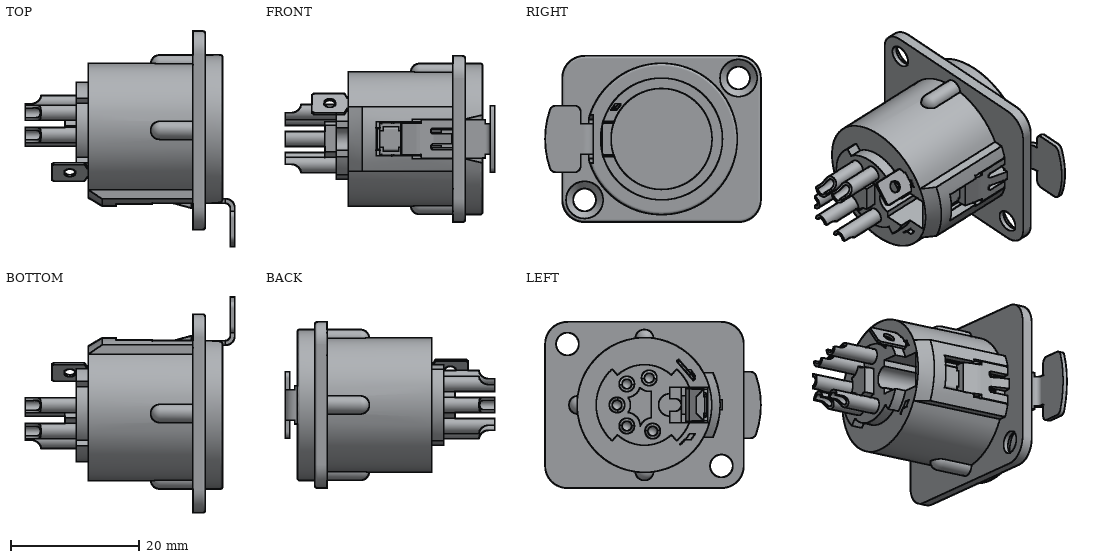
import cadquery as cq
import math


PLATE_THICKNESS = 1.95
PLATE_WIDTH_Y = 31.0
PLATE_HEIGHT_Z = 25.94
PLATE_CORNER_RADIUS = 3.5
EDGE_ROUND = 0.45
MOUNT_HOLE_DIAMETER = 3.5
COUNTERSINK_DIAMETER = 5.8
COUNTERSINK_ANGLE = 90
MOUNT_HOLE_Y = 12.0
MOUNT_HOLE_Z = 9.5

BARREL_RADIUS = 10.5
BARREL_REAR_X = -16.3
COLLAR_RADIUS = 11.8
COLLAR_FRONT_X = 4.65
SPINE_HALF_WIDTH = 5.0
SPINE_RAMP_LENGTH = 2.15

RIB_RADIUS = 1.42
RIB_AXIS_RADIUS = 10.35
RIB_CYLINDER_REAR_X = -5.16
RIB_ANGLES = (0, 90, -90)

GROOVE_INNER_DIAMETER = 15.75
GROOVE_OUTER_DIAMETER = 19.0
GROOVE_REAR_X = -12.0

FLANGE_THICKNESS = 1.9
FLANGE_SMALL_RADIUS = 6.28
FLANGE_LARGE_RADIUS = 7.52
FLANGE_SECTOR_HALF_ANGLE = 48.0
FLANGE_REAR_X = BARREL_REAR_X - FLANGE_THICKNESS
HUB_REAR_X = -19.95
HUB_FLAT_Y = -1.03
HUB_SCALLOP_RADIUS = 2.09

PIN_CIRCLE_RADIUS = 4.27
PIN_DIAMETER = 2.4
PIN_REAR_X = -26.15
PIN_ANGLE_STEP = 50
LAST_PIN_ANGLE = -107.5
PINS = (
    (0, 0),
    (PIN_ANGLE_STEP, 90),
    (2 * PIN_ANGLE_STEP, 90),
    (-PIN_ANGLE_STEP, -90),
    (LAST_PIN_ANGLE, -90),
)
CUP_BORE_DIAMETER = 1.5
CUP_BORE_DEPTH = 3.5
CUP_LENGTH = 2.5
CUP_FLOOR_OFFSET = -0.1
CUP_END_RADIUS = 1.5

POCKET_HALF_WIDTH = 2.75
POCKET_INNER_Y = -3.95
POCKET_OUTER_Y = -9.83
POCKET_LEDGE_Y = -5.72
POCKET_LEDGE_X = -9.5
POCKET_FLOOR_X = -5.0
POCKET_ROUND_RADIUS = 1.75
POCKET_ROUND_FLOOR_X = -11.0
TONGUE_HALF_WIDTH = 1.0

WINDOW_REAR_X = -11.95
WINDOW_HALF_WIDTH = 2.65
LEVER_SLOT_REAR_X = -6.35
LEVER_SLOT_HALF_WIDTH = 3.1
COLLAR_SLOT_FRONT_HALF_WIDTH = 3.75

LEVER_THICKNESS = 0.75
LEVER_OUTER_Y = -11.38
LEVER_INNER_Y = LEVER_OUTER_Y + LEVER_THICKNESS
LEVER_REAR_X = -4.9
LEVER_SHOULDER_X = 5.07
LEVER_HALF_WIDTH = 3.0
LEVER_NECK_HALF_WIDTH = 2.4
BEND_INNER_RADIUS = 0.75
HANDLE_FRONT_X = 6.57
HANDLE_INNER_Y = -12.6
HANDLE_TIP_Y = -18.17
HANDLE_HALF_WIDTH = 5.2
HANDLE_CORNER_RADIUS = 1.0
HANDLE_TIP_SAGITTA = 1.0

TOOTH_REAR_X = -3.0
TOOTH_FRONT_X = -0.2
TOOTH_TIP_Y = -12.14
TOOTH_HALF_WIDTH = 0.78
TOOTH_SLOT_REAR_X = -3.45
TOOTH_SLOT_OUTER_Z = 1.7
TOOTH_SLOT_CORNER = 0.3

RELIEF_REAR_X = -3.35
RELIEF_FRONT_X = -1.78
RELIEF_INNER_Z = 1.06
RELIEF_OUTER_Z = 1.4
RELIEF_GROOVE_REAR_X = -3.2
RELIEF_GROOVE_DEPTH = 0.4

LATCH_HALF_WIDTH = 2.52
LATCH_RAMP_HALF_WIDTH = 2.45
LATCH_RAMP_FRONT_X = -5.14
LATCH_RAMP_BEND_X = -5.66
LATCH_RAMP_BEND_Y = -11.32
LATCH_RAMP_REAR_X = -7.94
LATCH_RAMP_REAR_Y = -10.7
LATCH_STEP_X = -8.12
LATCH_STEP_OUTER_Y = -9.25
LATCH_REAR_X = -11.2
LATCH_HOOK_X = -8.0
LATCH_HOOK_BEND_X = -9.2
LATCH_HOOK_BEND_Y = -6.95
LATCH_HOOK_Y = -6.4
LATCH_ROLL_RADIUS = 0.65
LATCH_ROLL_X = -5.7
LATCH_ROLL_HALF_WIDTH = 1.47
NOSE_REAR_X = -11.35
NOSE_OUTER_Y = -9.75
NOSE_INNER_Y = -8.1
NOSE_HALF_WIDTH = 1.3
NOSE_BASE_HALF_WIDTH = 2.5
NOSE_LIP_REAR_X = -11.75
NOSE_LIP_OUTER_Y = -9.7
NOSE_LIP_INNER_Y = -9.4
NOSE_LIP_HALF_WIDTH = 1.6
NOSE_CHEEK_REAR_X = -10.86
NOSE_CHEEK_FRONT_X = -8.4
NOSE_CHEEK_HALF_WIDTH = 1.92
NOSE_CHEEK_ROUND = 0.45

TAB_CENTER_Y = -6.47
TAB_CENTER_Z = 5.46
TAB_ANGLE = 49.2
TAB_WIDTH = 4.0
TAB_THICKNESS = 0.42
TAB_REAR_X = -21.95
TAB_SHOULDER_X = -16.9
TAB_NECK_X = -16.45
TAB_NECK_HALF_WIDTH = 1.05
TAB_CORNER = 0.3
TAB_HOLE_DIAMETER = 1.8
TAB_HOLE_X = -19.17

VENT_INNER_Y = -6.35
VENT_WIDTH_Y = 0.87
VENT_SKEW_Y = -0.68
VENT_INNER_Z = 5.45
VENT_OUTER_Z = 4.5
VENT_BLIND_DEPTH = 1.0
SLIT_LENGTH = 1.05
SLIT_WIDTH = 0.1


def box(x_range, y_range, z_range):
    """Axis-aligned block between the given limits."""
    lengths = [high - low for low, high in (x_range, y_range, z_range)]
    return cq.Workplane("XY").box(*lengths, centered=False).translate((x_range[0], y_range[0], z_range[0]))


def across_x(x):
    """Workplane normal to X, with local axes Y and Z."""
    return cq.Workplane("YZ", origin=(x, 0, 0))


def disc(radius, x_rear, x_front, y=0, z=0):
    """Cylinder along X."""
    return across_x(x_rear).center(y, z).circle(radius).extrude(x_front - x_rear)


def below_middle(half_width):
    """XY workplane at the lower face of a slab centred on Z = 0."""
    return cq.Workplane("XY", origin=(0, 0, -half_width))


def mid_slab(points, half_width):
    """Outline in X and Y, extruded to a slab centred on Z = 0."""
    return below_middle(half_width).polyline(points).close().extrude(2 * half_width)


def make_plate():
    plate = across_x(0).rect(PLATE_WIDTH_Y, PLATE_HEIGHT_Z).extrude(PLATE_THICKNESS)
    plate = plate.edges("|X").fillet(PLATE_CORNER_RADIUS)
    plate = plate.faces(">X").edges().fillet(EDGE_ROUND)
    hole_centers = [(MOUNT_HOLE_Y, MOUNT_HOLE_Z), (-MOUNT_HOLE_Y, -MOUNT_HOLE_Z)]
    return (
        across_x(PLATE_THICKNESS)
        .add(plate)
        .pushPoints(hole_centers)
        .cskHole(MOUNT_HOLE_DIAMETER, COUNTERSINK_DIAMETER, COUNTERSINK_ANGLE)
    )


def make_spine():
    """Raised sector on the -Y side, ramped down to the barrel radius at the rear."""
    cone = cq.Workplane("XY").polyline([
        (BARREL_REAR_X, 0),
        (BARREL_REAR_X, BARREL_RADIUS),
        (BARREL_REAR_X + SPINE_RAMP_LENGTH, COLLAR_RADIUS),
        (0, COLLAR_RADIUS),
        (0, 0),
    ]).close().revolve(360, (0, 0, 0), (1, 0, 0))
    side = box((BARREL_REAR_X, 0), (-COLLAR_RADIUS, 0), (-SPINE_HALF_WIDTH, SPINE_HALF_WIDTH))
    return cone.intersect(side)


def make_rib(angle):
    rib = disc(RIB_RADIUS, RIB_CYLINDER_REAR_X, 0, RIB_AXIS_RADIUS)
    end = cq.Workplane("XY").sphere(RIB_RADIUS).translate((RIB_CYLINDER_REAR_X, RIB_AXIS_RADIUS, 0))
    return rib.union(end).rotate((0, 0, 0), (1, 0, 0), angle)


def make_housing():
    housing = disc(BARREL_RADIUS, BARREL_REAR_X, 0).union(make_spine())
    for angle in RIB_ANGLES:
        housing = housing.union(make_rib(angle))
    collar = disc(COLLAR_RADIUS, 0, COLLAR_FRONT_X).faces(">X").edges().fillet(EDGE_ROUND)
    groove = disc(GROOVE_OUTER_DIAMETER / 2, GROOVE_REAR_X, COLLAR_FRONT_X)
    groove = groove.cut(disc(GROOVE_INNER_DIAMETER / 2, GROOVE_REAR_X, COLLAR_FRONT_X))
    return housing.union(make_plate()).union(collar).cut(groove)


def pin_center(angle):
    turn = math.radians(angle)
    return (PIN_CIRCLE_RADIUS * math.cos(turn), PIN_CIRCLE_RADIUS * math.sin(turn))


def make_flange():
    """Round flange with a larger radius over a sector on each Y side."""
    flange = disc(FLANGE_SMALL_RADIUS, FLANGE_REAR_X, BARREL_REAR_X)
    reach_y = FLANGE_LARGE_RADIUS * 2
    reach_z = reach_y * math.tan(math.radians(FLANGE_SECTOR_HALF_ANGLE))
    for side in (1, -1):
        sector = across_x(FLANGE_REAR_X).polyline([
            (0, 0),
            (side * reach_y, reach_z),
            (side * reach_y, -reach_z),
        ]).close().extrude(FLANGE_THICKNESS)
        flange = flange.union(sector.intersect(disc(FLANGE_LARGE_RADIUS, FLANGE_REAR_X, BARREL_REAR_X)))
    return flange


def make_hub():
    """Central boss, scalloped around every contact and flat on its -Y side."""
    centers = {angle: pin_center(angle) for angle, _ in PINS}
    outline = [
        (HUB_FLAT_Y, centers[2 * PIN_ANGLE_STEP][1]),
        centers[PIN_ANGLE_STEP],
        centers[0],
        centers[-PIN_ANGLE_STEP],
        (HUB_FLAT_Y, centers[LAST_PIN_ANGLE][1]),
    ]
    hub = across_x(HUB_REAR_X).polyline(outline).close().extrude(FLANGE_REAR_X - HUB_REAR_X)
    for y, z in centers.values():
        hub = hub.cut(disc(HUB_SCALLOP_RADIUS, HUB_REAR_X, FLANGE_REAR_X, y, z))
    return hub


def make_pin(angle, opening):
    """Contact with a half-open solder cup facing the given direction."""
    radius = PIN_DIAMETER / 2
    bore_radius = CUP_BORE_DIAMETER / 2
    bore_end_x = PIN_REAR_X + CUP_BORE_DEPTH
    pin = disc(radius, PIN_REAR_X, FLANGE_REAR_X)
    bore = disc(bore_radius, PIN_REAR_X, bore_end_x)
    bore = bore.union(cq.Workplane("XY").sphere(bore_radius).translate((bore_end_x, 0, 0)))
    rise = radius - CUP_FLOOR_OFFSET
    arc_run = math.sqrt(CUP_END_RADIUS**2 - (CUP_END_RADIUS - rise) ** 2)
    cut_end_x = PIN_REAR_X + CUP_LENGTH
    opening_cut = (
        below_middle(radius)
        .moveTo(PIN_REAR_X, CUP_FLOOR_OFFSET)
        .lineTo(cut_end_x - arc_run, CUP_FLOOR_OFFSET)
        .tangentArcPoint((cut_end_x, radius), relative=False)
        .lineTo(PIN_REAR_X, radius)
        .close()
        .extrude(2 * radius)
    )
    pin = pin.cut(bore).cut(opening_cut).rotate((0, 0, 0), (1, 0, 0), opening)
    y, z = pin_center(angle)
    return pin.translate((0, y, z))


def cut_latch_pocket(body):
    width = (-POCKET_HALF_WIDTH, POCKET_HALF_WIDTH)
    ledge = box((FLANGE_REAR_X, POCKET_LEDGE_X), (POCKET_LEDGE_Y, POCKET_INNER_Y), width)
    tongue_end_y = POCKET_LEDGE_Y + TONGUE_HALF_WIDTH
    tongue_width = (-TONGUE_HALF_WIDTH, TONGUE_HALF_WIDTH)
    tongue = box((POCKET_ROUND_FLOOR_X, POCKET_LEDGE_X), (tongue_end_y, POCKET_INNER_Y), tongue_width)
    tongue = tongue.union(disc(TONGUE_HALF_WIDTH, POCKET_ROUND_FLOOR_X, POCKET_LEDGE_X, tongue_end_y))
    deep = box((FLANGE_REAR_X, POCKET_FLOOR_X), (POCKET_OUTER_Y, POCKET_LEDGE_Y), width)
    recess = disc(POCKET_ROUND_RADIUS, FLANGE_REAR_X, POCKET_ROUND_FLOOR_X, POCKET_INNER_Y)
    return body.cut(ledge.cut(tongue)).cut(deep).cut(recess)


def cut_lever_openings(body):
    outside_y = -COLLAR_RADIUS
    window = box(
        (WINDOW_REAR_X, LEVER_REAR_X), (outside_y, POCKET_OUTER_Y), (-WINDOW_HALF_WIDTH, WINDOW_HALF_WIDTH)
    )
    slot = box(
        (LEVER_SLOT_REAR_X, 0), (outside_y, LEVER_INNER_Y), (-LEVER_SLOT_HALF_WIDTH, LEVER_SLOT_HALF_WIDTH)
    )
    collar_slot = cq.Workplane("XZ", origin=(0, LEVER_INNER_Y, 0)).polyline([
        (PLATE_THICKNESS, LEVER_SLOT_HALF_WIDTH),
        (COLLAR_FRONT_X, COLLAR_SLOT_FRONT_HALF_WIDTH),
        (COLLAR_FRONT_X, -COLLAR_SLOT_FRONT_HALF_WIDTH),
        (PLATE_THICKNESS, -LEVER_SLOT_HALF_WIDTH),
    ]).close().extrude(LEVER_INNER_Y - outside_y)
    return body.cut(window).cut(slot).cut(collar_slot)


def make_lever_arm():
    """Flat arm with its shoulder, and the narrower neck bent outwards to the handle."""
    bend_outer_radius = BEND_INNER_RADIUS + LEVER_THICKNESS
    bend_x = HANDLE_FRONT_X - bend_outer_radius
    bend_y = LEVER_OUTER_Y - BEND_INNER_RADIUS
    handle_rear_x = HANDLE_FRONT_X - LEVER_THICKNESS
    diagonal = math.sqrt(0.5)
    arm = box(
        (LEVER_REAR_X, LEVER_SHOULDER_X),
        (LEVER_OUTER_Y, LEVER_INNER_Y),
        (-LEVER_HALF_WIDTH, LEVER_HALF_WIDTH),
    )
    neck = (
        below_middle(LEVER_NECK_HALF_WIDTH)
        .moveTo(LEVER_REAR_X, LEVER_INNER_Y)
        .lineTo(bend_x, LEVER_INNER_Y)
        .threePointArc(
            (bend_x + bend_outer_radius * diagonal, bend_y + bend_outer_radius * diagonal),
            (HANDLE_FRONT_X, bend_y),
        )
        .lineTo(HANDLE_FRONT_X, HANDLE_INNER_Y - HANDLE_CORNER_RADIUS)
        .lineTo(handle_rear_x, HANDLE_INNER_Y - HANDLE_CORNER_RADIUS)
        .lineTo(handle_rear_x, bend_y)
        .threePointArc(
            (bend_x + BEND_INNER_RADIUS * diagonal, bend_y + BEND_INNER_RADIUS * diagonal),
            (bend_x, LEVER_OUTER_Y),
        )
        .lineTo(LEVER_REAR_X, LEVER_OUTER_Y)
        .close()
        .extrude(2 * LEVER_NECK_HALF_WIDTH)
    )
    return arm.union(neck)


def make_handle():
    tip_side_y = HANDLE_TIP_Y + HANDLE_TIP_SAGITTA
    handle = (
        across_x(HANDLE_FRONT_X - LEVER_THICKNESS)
        .moveTo(HANDLE_INNER_Y, -HANDLE_HALF_WIDTH)
        .lineTo(HANDLE_INNER_Y, HANDLE_HALF_WIDTH)
        .lineTo(tip_side_y, HANDLE_HALF_WIDTH)
        .threePointArc((HANDLE_TIP_Y, 0), (tip_side_y, -HANDLE_HALF_WIDTH))
        .close()
        .extrude(LEVER_THICKNESS)
    )
    return handle.edges("|X").fillet(HANDLE_CORNER_RADIUS)


def make_tooth():
    return mid_slab([
        (TOOTH_REAR_X, LEVER_OUTER_Y),
        (TOOTH_FRONT_X, TOOTH_TIP_Y),
        (TOOTH_FRONT_X, LEVER_OUTER_Y),
    ], TOOTH_HALF_WIDTH)


def make_tooth_slot(side):
    slot = box(
        (TOOTH_SLOT_REAR_X, 0), (LEVER_OUTER_Y, LEVER_INNER_Y), (TOOTH_HALF_WIDTH, TOOTH_SLOT_OUTER_Z)
    )
    slot = slot.faces("<X").edges("|Y").chamfer(TOOTH_SLOT_CORNER)
    return slot if side > 0 else slot.mirror("XY")


def make_relief(side):
    """Through opening with a shallow groove along its outer edge."""
    opening = box(
        (RELIEF_REAR_X, RELIEF_FRONT_X),
        (LEVER_INNER_Y, -GROOVE_INNER_DIAMETER / 2),
        (RELIEF_INNER_Z, RELIEF_OUTER_Z),
    )
    groove = box(
        (RELIEF_GROOVE_REAR_X, 0),
        (LEVER_INNER_Y, LEVER_INNER_Y + RELIEF_GROOVE_DEPTH),
        (RELIEF_OUTER_Z, TOOTH_SLOT_OUTER_Z),
    )
    relief = opening.union(groove)
    return relief if side > 0 else relief.mirror("XY")


def make_latch_nose():
    """Rear end of the latch: tapered front wall, flat top, end lip and rounded cheeks."""
    nose = across_x(NOSE_REAR_X).polyline([
        (LATCH_STEP_OUTER_Y, NOSE_BASE_HALF_WIDTH),
        (NOSE_INNER_Y, NOSE_HALF_WIDTH),
        (NOSE_INNER_Y, -NOSE_HALF_WIDTH),
        (LATCH_STEP_OUTER_Y, -NOSE_BASE_HALF_WIDTH),
        (LATCH_STEP_OUTER_Y, -NOSE_HALF_WIDTH),
        (NOSE_OUTER_Y, -NOSE_HALF_WIDTH),
        (NOSE_OUTER_Y, NOSE_HALF_WIDTH),
        (LATCH_STEP_OUTER_Y, NOSE_HALF_WIDTH),
    ]).close().extrude(LATCH_STEP_X - NOSE_REAR_X)
    lip = box(
        (NOSE_LIP_REAR_X, NOSE_REAR_X),
        (NOSE_LIP_OUTER_Y, NOSE_LIP_INNER_Y),
        (-NOSE_LIP_HALF_WIDTH, NOSE_LIP_HALF_WIDTH),
    )
    cheeks = box(
        (NOSE_CHEEK_REAR_X, NOSE_CHEEK_FRONT_X),
        (NOSE_OUTER_Y, LATCH_STEP_OUTER_Y),
        (-NOSE_CHEEK_HALF_WIDTH, NOSE_CHEEK_HALF_WIDTH),
    ).faces("<Y").edges("|X").fillet(NOSE_CHEEK_ROUND)
    return nose.union(lip).union(cheeks)


def make_latch():
    """Hook reaching through the window from the lever into the pocket."""
    ramp = mid_slab([
        (LEVER_REAR_X, LEVER_OUTER_Y),
        (LATCH_RAMP_FRONT_X, LEVER_OUTER_Y),
        (LATCH_RAMP_BEND_X, LATCH_RAMP_BEND_Y),
        (LATCH_RAMP_REAR_X, LATCH_RAMP_REAR_Y),
        (LATCH_STEP_X, LATCH_STEP_OUTER_Y),
        (LEVER_REAR_X, LATCH_STEP_OUTER_Y),
    ], LATCH_RAMP_HALF_WIDTH)
    hook = mid_slab([
        (LATCH_REAR_X, LATCH_STEP_OUTER_Y),
        (LATCH_HOOK_BEND_X, LATCH_HOOK_BEND_Y),
        (LATCH_HOOK_X, LATCH_HOOK_Y),
        (POCKET_FLOOR_X, LATCH_HOOK_Y),
        (POCKET_FLOOR_X, LATCH_STEP_OUTER_Y),
    ], LATCH_HALF_WIDTH)
    roll = below_middle(LATCH_ROLL_HALF_WIDTH).center(LATCH_ROLL_X, LATCH_HOOK_Y).circle(LATCH_ROLL_RADIUS)
    roll = roll.extrude(2 * LATCH_ROLL_HALF_WIDTH)
    return ramp.union(hook).union(roll).union(make_latch_nose())


def make_earth_tab():
    half_width = TAB_WIDTH / 2
    upper = [
        (TAB_REAR_X, half_width - TAB_CORNER),
        (TAB_REAR_X + TAB_CORNER, half_width),
        (TAB_SHOULDER_X, half_width),
        (TAB_NECK_X, TAB_NECK_HALF_WIDTH),
        (BARREL_REAR_X, TAB_NECK_HALF_WIDTH),
    ]
    lower = [(x, -y) for x, y in reversed(upper)]
    half_thickness = TAB_THICKNESS / 2
    hole = below_middle(half_thickness).center(TAB_HOLE_X, 0).circle(TAB_HOLE_DIAMETER / 2)
    tab = mid_slab(upper + lower, half_thickness).cut(hole.extrude(TAB_THICKNESS))
    return tab.rotate((0, 0, 0), (1, 0, 0), TAB_ANGLE).translate((0, TAB_CENTER_Y, TAB_CENTER_Z))


def make_vent(side, depth):
    outline = [
        (VENT_INNER_Y, side * VENT_INNER_Z),
        (VENT_INNER_Y - VENT_WIDTH_Y, side * VENT_INNER_Z),
        (VENT_INNER_Y - VENT_WIDTH_Y + VENT_SKEW_Y, side * VENT_OUTER_Z),
        (VENT_INNER_Y + VENT_SKEW_Y, side * VENT_OUTER_Z),
    ]
    return across_x(BARREL_REAR_X).polyline(outline).close().extrude(depth)


def make_slit():
    """Narrow slit that leads into the blind vent."""
    slit = box((BARREL_REAR_X, BARREL_REAR_X + VENT_BLIND_DEPTH), (0, SLIT_LENGTH), (0, SLIT_WIDTH))
    return slit.rotate((0, 0, 0), (1, 0, 0), -45).translate((0, VENT_INNER_Y, -VENT_INNER_Z))


body = make_housing().union(make_flange())
body = cut_latch_pocket(body)
body = cut_lever_openings(body)
body = body.cut(make_vent(1, GROOVE_REAR_X - BARREL_REAR_X))
body = body.cut(make_vent(-1, VENT_BLIND_DEPTH)).cut(make_slit())

lever = make_lever_arm().union(make_handle()).union(make_latch())
for slot_side in (1, -1):
    body = body.cut(make_relief(slot_side))
    lever = lever.cut(make_tooth_slot(slot_side))
lever = lever.union(make_tooth())

result = body.union(make_hub()).union(make_earth_tab()).union(lever)
for pin_angle, cup_direction in PINS:
    result = result.union(make_pin(pin_angle, cup_direction))